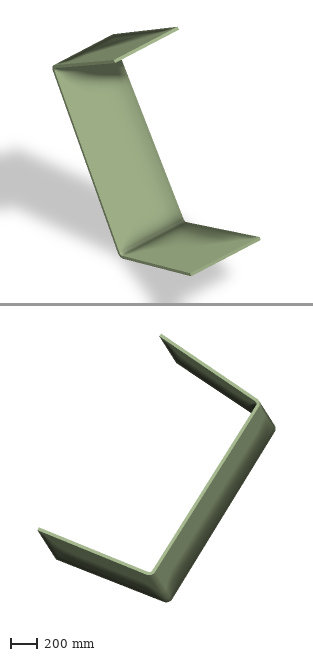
import cadquery as cq
import math

width = 1700.0
height = 1937.0
depth_left = 570.0
depth_right = 668.0

thickness = 25.0
inner_radius = 25.0
outer_radius = inner_radius + thickness
web_length = 1507.0

upper_angle = 37.6
web_angle = 58.3
lower_angle = 25.9


def direction(degrees):
    angle = math.radians(degrees)
    return cq.Vector(math.cos(angle), math.sin(angle))


web_along = direction(180 - web_angle)
upper_along = direction(upper_angle)
lower_along = direction(lower_angle)

upper_normal = direction(upper_angle + 90)
web_normal = direction(270 - web_angle)
lower_normal = direction(lower_angle - 90)

lower_center = cq.Vector(outer_radius + web_length * math.cos(math.radians(web_angle)), outer_radius)
upper_center = lower_center + web_along * web_length

upper_length = (height - upper_center.y - outer_radius * upper_normal.y) / upper_along.y
lower_length = (width - lower_center.x - outer_radius * lower_normal.x) / lower_along.x
upper_end = upper_center + upper_along * upper_length
lower_end = lower_center + lower_along * lower_length


def bend_point(center, normal, radius):
    return (center + normal * radius).toTuple()[:2]


def bend_arc(sketch, center, start_normal, end_normal, radius):
    middle_normal = (start_normal + end_normal).normalized()
    return sketch.threePointArc(
        bend_point(center, middle_normal, radius),
        bend_point(center, end_normal, radius),
    )


def make_profile():
    sketch = cq.Workplane("XZ").moveTo(*bend_point(upper_end, upper_normal, outer_radius))
    sketch = sketch.lineTo(*bend_point(upper_center, upper_normal, outer_radius))
    sketch = bend_arc(sketch, upper_center, upper_normal, web_normal, outer_radius)
    sketch = sketch.lineTo(*bend_point(lower_center, web_normal, outer_radius))
    sketch = bend_arc(sketch, lower_center, web_normal, lower_normal, outer_radius)
    sketch = sketch.lineTo(*bend_point(lower_end, lower_normal, outer_radius))
    sketch = sketch.lineTo(*bend_point(lower_end, lower_normal, inner_radius))
    sketch = sketch.lineTo(*bend_point(lower_center, lower_normal, inner_radius))
    sketch = bend_arc(sketch, lower_center, lower_normal, web_normal, inner_radius)
    sketch = sketch.lineTo(*bend_point(upper_center, web_normal, inner_radius))
    sketch = bend_arc(sketch, upper_center, web_normal, upper_normal, inner_radius)
    sketch = sketch.lineTo(*bend_point(upper_end, upper_normal, inner_radius))
    return sketch.close()


def make_depth_envelope():
    outline = [(0, 0), (width, 0), (width, depth_right), (0, depth_left)]
    return cq.Workplane("XY").polyline(outline).close().extrude(height)


bent_plate = make_profile().extrude(-depth_right)
result = bent_plate.intersect(make_depth_envelope())